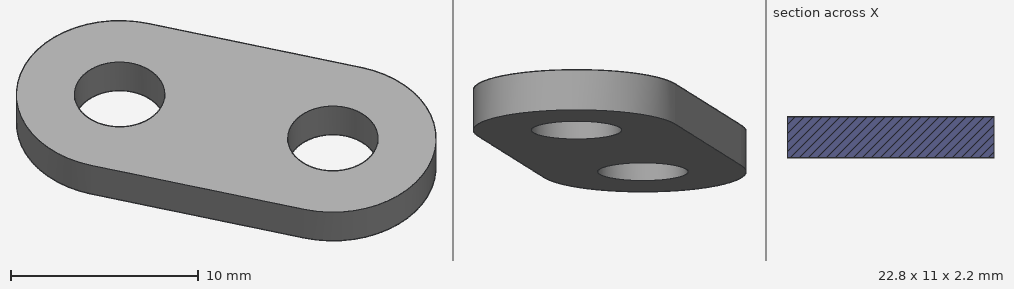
import cadquery as cq

length = 22.8
width = 11.0
thickness = 2.2
hole_diameter = 4.8

hole_spacing = length - width

plate = cq.Workplane("XY").slot2D(length, width).extrude(thickness)

result = (
    plate.faces(">Z")
    .workplane()
    .rarray(hole_spacing, 0.23, 2, 1)
    .hole(hole_diameter)
)